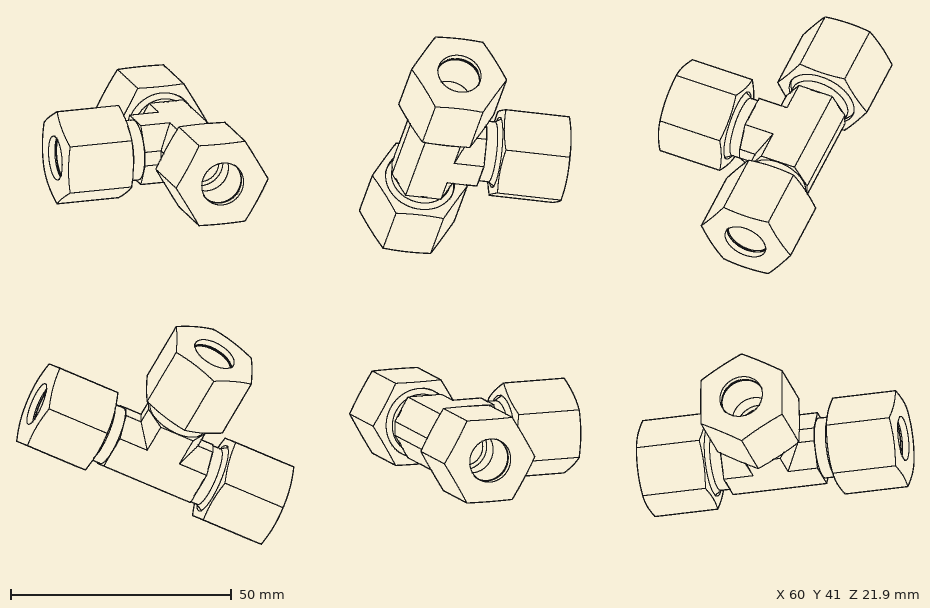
import cadquery as cq
import math


arm_reach = 30.0
tube_radius = 5.0
thread_radius = 8.0

forging_reach = 11.0
forging_half_height = 7.0
forging_half_width = 7.2
forging_half_flat = 4.1
forging_bevel_angle = 60.0
bore_radius = 4.0
stub_end = 22.0
relief_radius = 6.85
relief_end = 13.55
relief_cone_angle = 30.0
tube_stop = 15.0
socket_cone_angle = 12.0
socket_mouth_radius = 6.1

nut_across_flats = 19.0
nut_inner_face = 14.5
nut_edge_angle = 15.0
nut_lip_length = 1.5

ring_rear_gap = 0.4
ring_insertion = 3.0

arms = [(0, 0), (180, 0), (-90, 90)]


def slope(angle):
    return math.tan(math.radians(angle))


def turned(profile):
    """Solid of revolution about X from (axial position, radius) points."""
    return cq.Workplane("XY").polyline(profile).close().revolve(360, (0, 0, 0), (1, 0, 0))


def aim(arm, direction):
    """Turn an arm built along +X to its place around Z."""
    return arm.rotate((0, 0, 0), (0, 0, 1), direction)


def forged_bar(start, end):
    """Bar along X with flat top, bottom and sides joined by bevels."""
    bevel_drop = (forging_half_width - forging_half_flat) * slope(forging_bevel_angle)
    side_half_flat = forging_half_height - bevel_drop
    quarter = [(forging_half_flat, forging_half_height), (forging_half_width, side_half_flat)]
    right_side = quarter + [(y, -z) for y, z in reversed(quarter)]
    outline = right_side + [(-y, -z) for y, z in right_side]
    return cq.Workplane("YZ").workplane(offset=start).polyline(outline).close().extrude(end - start)


def threaded_stub():
    """Round stub along +X: relief groove, thread run-out cone and thread cylinder."""
    thread_start = relief_end + (thread_radius - relief_radius) / slope(relief_cone_angle)
    return turned([
        (0, 0),
        (0, relief_radius),
        (relief_end, relief_radius),
        (thread_start, thread_radius),
        (stub_end, thread_radius),
        (stub_end, 0),
    ])


def stub_passage():
    """Hollow of one arm along +X: flow bore, tube socket and sealing cone."""
    cone_start = stub_end - (socket_mouth_radius - tube_radius) / slope(socket_cone_angle)
    return turned([
        (0, 0),
        (0, bore_radius),
        (tube_stop, bore_radius),
        (tube_stop, tube_radius),
        (cone_start, tube_radius),
        (stub_end, socket_mouth_radius),
        (stub_end, 0),
    ])


def make_tee_body():
    body = forged_bar(-forging_reach, forging_reach)
    body = body.union(aim(forged_bar(0, forging_reach), -90))
    for direction, _ in arms:
        body = body.union(aim(threaded_stub(), direction))
    for direction, _ in arms:
        body = body.cut(aim(stub_passage(), direction))
    return body


def make_nut():
    """Hexagon nut along +X with corners at +Y and -Y and both ends turned."""
    flat_radius = nut_across_flats / 2
    corner_radius = flat_radius / math.cos(math.radians(30))
    edge_length = (corner_radius - flat_radius) * slope(nut_edge_angle)
    seat_start = arm_reach - nut_lip_length
    seat_end = seat_start - (thread_radius - tube_radius)

    hexagon = (
        cq.Workplane("YZ").workplane(offset=nut_inner_face)
        .polygon(6, 2 * corner_radius)
        .extrude(arm_reach - nut_inner_face)
    )
    turned_envelope = turned([
        (nut_inner_face, 0),
        (nut_inner_face, flat_radius),
        (nut_inner_face + edge_length, corner_radius),
        (arm_reach - edge_length, corner_radius),
        (arm_reach, flat_radius),
        (arm_reach, 0),
    ])
    hollow = turned([
        (nut_inner_face, 0),
        (nut_inner_face, thread_radius),
        (seat_end, thread_radius),
        (seat_start, tube_radius),
        (arm_reach, tube_radius),
        (arm_reach, 0),
    ])
    return hexagon.intersect(turned_envelope).cut(hollow)


def make_cutting_ring():
    """Ring along +X, resting on the nut seat and in the sealing cone of the stub."""
    front = stub_end - ring_insertion
    front_radius = socket_mouth_radius - ring_insertion * slope(socket_cone_angle)
    rear = arm_reach - nut_lip_length - ring_rear_gap
    rear_radius = tube_radius + ring_rear_gap
    seat_contact_end = rear - (socket_mouth_radius - rear_radius)
    return turned([
        (front, tube_radius),
        (front, front_radius),
        (stub_end, socket_mouth_radius),
        (seat_contact_end, socket_mouth_radius),
        (rear, rear_radius),
        (rear, tube_radius),
    ])


tee_body = make_tee_body()
nuts = [aim(make_nut().rotate((0, 0, 0), (1, 0, 0), roll), direction) for direction, roll in arms]
cutting_rings = [aim(make_cutting_ring(), direction) for direction, _ in arms]

result = cq.Compound.makeCompound(
    [tee_body.val()]
    + [nut.val() for nut in nuts]
    + [ring.val() for ring in cutting_rings]
)